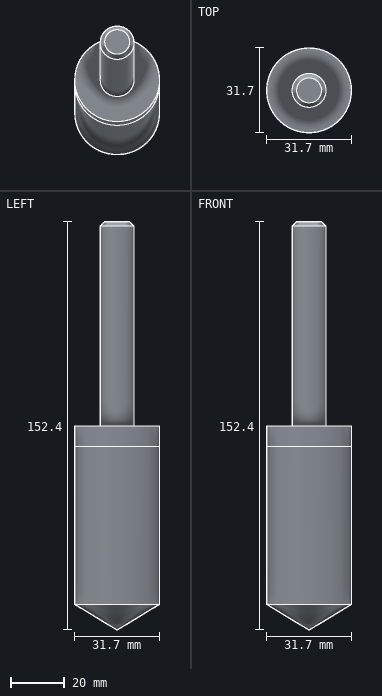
import cadquery as cq

total_height = 152.4
body_diameter = 31.7
cone_height = 9.6
seam_height = 68.6
shoulder_height = 76.2

stem_diameter = 12.6
stem_chamfer = 1.7

body_radius = body_diameter / 2
stem_length = total_height - shoulder_height
cap_thickness = shoulder_height - seam_height


def make_pointed_body():
    """Solid cylinder with a conical tip pointing down."""
    half_profile = (
        cq.Workplane("XZ")
        .moveTo(0, 0)
        .lineTo(body_radius, cone_height)
        .lineTo(body_radius, seam_height)
        .lineTo(0, seam_height)
        .close()
    )
    return half_profile.revolve(360, (0, 0, 0), (0, 1, 0))


def make_capped_stem():
    """Disc cap with a slender stem rising from it, chamfered at its top end."""
    cap = cq.Workplane("XY").workplane(offset=seam_height).circle(body_radius).extrude(cap_thickness)
    stem = (
        cq.Workplane("XY")
        .workplane(offset=shoulder_height)
        .circle(stem_diameter / 2)
        .extrude(stem_length)
        .faces(">Z")
        .chamfer(stem_chamfer)
    )
    return cap.union(stem)


pointed_body = make_pointed_body()
capped_stem = make_capped_stem()

result = cq.Compound.makeCompound([pointed_body.val(), capped_stem.val()])